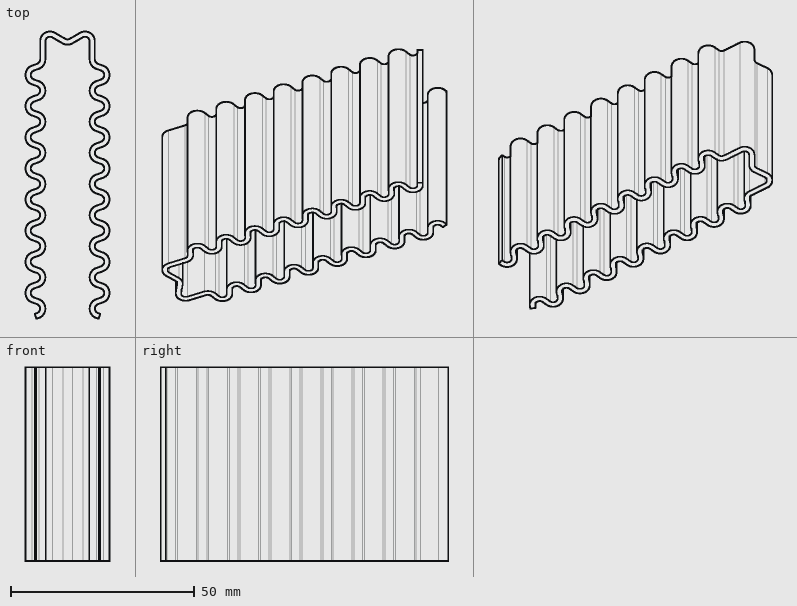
import cadquery as cq
import math

length = 78.5
width = 23.0
height = 53.0

thickness = 1.5
inner_gap = 12.0
wave_count = 8
flank_turn = 70.0

leg_length = 4.95
head_radius = 2.0
v_slope = 30.0

half_thickness = thickness / 2
leg_x = inner_gap / 2 + half_thickness
swing = width / 2 - half_thickness - leg_x
flank_sin = math.sin(math.radians(flank_turn))
flank_cos = math.cos(math.radians(flank_turn))

tip_drop = half_thickness * flank_sin
corner_height = head_radius + half_thickness
pitch = (length - corner_height - leg_length - tip_drop) / (wave_count + 0.25)

half_pitch = pitch / 2
wave_radius = (half_pitch * flank_sin - swing * flank_cos) / (2 * (1 - flank_cos))
flank_length = (half_pitch - 2 * wave_radius * flank_sin) / flank_cos

v_sin = math.sin(math.radians(v_slope))
v_cos = math.cos(math.radians(v_slope))
v_flank_length = (leg_x - head_radius - 2 * head_radius * v_sin) / v_cos


def line(distance):
    return ("line", distance, 0.0)


def bend(radius, turn):
    """Arc tangent to what precedes it; a positive turn is to the left."""
    return ("bend", radius, turn)


def half_strip_path():
    """Segments from the middle of the V to the tip of the +X leg."""
    path = [
        bend(head_radius, v_slope),
        line(v_flank_length),
        bend(head_radius, -(90 + v_slope)),
        line(leg_length),
    ]
    for _ in range(wave_count):
        path += [
            bend(wave_radius, flank_turn),
            line(flank_length),
            bend(wave_radius, -2 * flank_turn),
            line(flank_length),
            bend(wave_radius, flank_turn),
        ]
    path += [bend(wave_radius, flank_turn), line(flank_length / 2)]
    return path


def advance(station, segment, fraction):
    """Position and heading after going a fraction of the way along a segment."""
    x, y, heading = station
    kind, size, turn = segment
    if kind == "line":
        chord = size * fraction
        chord_heading = math.radians(heading)
    else:
        part_turn = turn * fraction
        chord = 2 * size * math.sin(math.radians(abs(part_turn)) / 2)
        chord_heading = math.radians(heading + part_turn / 2)
        heading += part_turn
    return (x + chord * math.cos(chord_heading), y + chord * math.sin(chord_heading), heading)


def face_point(station, offset):
    """Point on the strip face lying the given offset to the left of the path."""
    x, y, heading = station
    angle = math.radians(heading)
    return cq.Vector(x - offset * math.sin(angle), y + offset * math.cos(angle), 0)


def face_edges(start, path, offset):
    """Edges of one strip face, and the station where the path ends."""
    edges = []
    station = start
    for segment in path:
        middle = advance(station, segment, 0.5)
        end = advance(station, segment, 1.0)
        first, halfway, last = [face_point(s, offset) for s in (station, middle, end)]
        if segment[0] == "line":
            edges.append(cq.Edge.makeLine(first, last))
        else:
            edges.append(cq.Edge.makeThreePointArc(first, halfway, last))
        station = end
    return edges, station


rise_to_corner_top = 2 * head_radius * (1 - v_cos) + v_flank_length * v_sin
start = (0.0, length / 2 - half_thickness - rise_to_corner_top, 0.0)
path = half_strip_path()

outer_edges, tip = face_edges(start, path, half_thickness)
inner_edges, _ = face_edges(start, path, -half_thickness)
tip_edge = cq.Edge.makeLine(face_point(tip, half_thickness), face_point(tip, -half_thickness))
mirror_edge = cq.Edge.makeLine(face_point(start, half_thickness), face_point(start, -half_thickness))

outline = cq.Wire.assembleEdges(outer_edges + [tip_edge] + inner_edges[::-1] + [mirror_edge])
half_strip = cq.Workplane(cq.Solid.extrudeLinear(outline, [], cq.Vector(0, 0, height)))

result = half_strip.union(half_strip.mirror("YZ")).clean().solids()